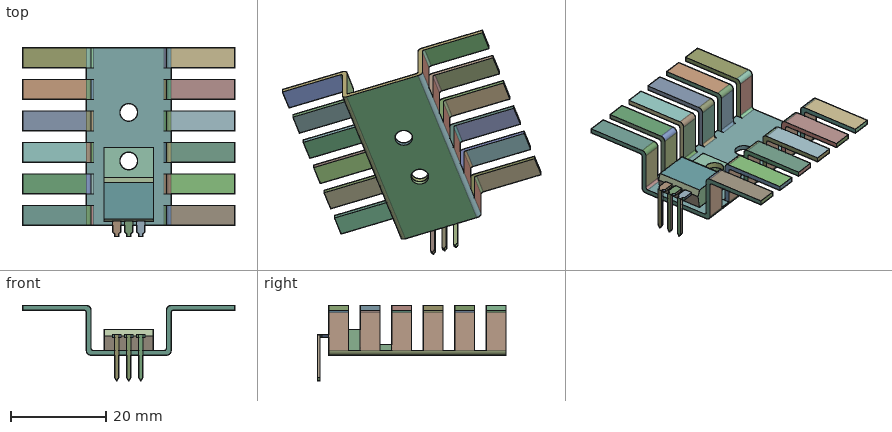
import cadquery as cq


SPAN = 44.45
SINK_LENGTH = 37.25
SINK_HEIGHT = 10.45
SHEET = 1.02
CHANNEL_WIDTH = 17.82
BEND_OUTER_RADIUS = 1.0
BEND_INNER_RADIUS = 0.5
FINGER_COUNT = 6
FINGER_GAP = 2.4
SINK_HOLE_DIAMETER = 3.65
SCREW_Y = 13.5
SPARE_HOLE_Y = 23.7

BODY_WIDTH = 10.3
BODY_HEIGHT = 4.4
TAB_THICKNESS = 1.25
TAB_HOLE_DIAMETER = 3.75
TAB_REAR_Y = 16.35
BODY_FRONT_Y = 0.8
BODY_LENGTH = 9.25
REAR_CHAMFER = 1.02
FRONT_UPPER_RUN = 0.55
FRONT_LOWER_RUN = 0.5
PARTING_HEIGHT = 3.02

LEAD_COUNT = 3
LEAD_PITCH = 2.55
LEAD_THICKNESS = 0.6
LEAD_WIDTH = 0.9
LEAD_ROOT_WIDTH = 1.75
LEAD_REACH = 2.35
LEAD_ROOT_REACH = 1.42
LEAD_DROP = 5.4
TIP_LENGTH = 0.7
TIP_WIDTH = 0.05


def make_heat_sink():
    half_span = SPAN / 2
    wall_outer = CHANNEL_WIDTH / 2
    wall_inner = wall_outer - SHEET
    wing_underside = SINK_HEIGHT - SHEET

    sink = (
        cq.Workplane("XZ")
        .moveTo(0, 0)
        .lineTo(wall_outer, 0)
        .lineTo(wall_outer, wing_underside)
        .lineTo(half_span, wing_underside)
        .lineTo(half_span, SINK_HEIGHT)
        .lineTo(wall_inner, SINK_HEIGHT)
        .lineTo(wall_inner, SHEET)
        .lineTo(0, SHEET)
        .mirrorY()
        .extrude(-SINK_LENGTH)
    )

    bends = [
        (wall_outer, 0, BEND_OUTER_RADIUS),
        (wall_inner, SHEET, BEND_INNER_RADIUS),
        (wall_outer, wing_underside, BEND_INNER_RADIUS),
        (wall_inner, SINK_HEIGHT, BEND_OUTER_RADIUS),
    ]
    for x, z, radius in bends:
        for side in (-1, 1):
            corner = cq.selectors.NearestToPointSelector((side * x, SINK_LENGTH / 2, z))
            sink = sink.edges(corner).fillet(radius)

    gap_count = FINGER_COUNT - 1
    finger_width = (SINK_LENGTH - gap_count * FINGER_GAP) / FINGER_COUNT
    for index in range(gap_count):
        gap_y = finger_width + index * (finger_width + FINGER_GAP)
        gap = (
            cq.Workplane("XY", origin=(0, gap_y, SHEET))
            .box(SPAN, FINGER_GAP, SINK_HEIGHT, centered=(True, False, False))
        )
        sink = sink.cut(gap)

    holes = (
        cq.Workplane("XY")
        .pushPoints([(0, SCREW_Y), (0, SPARE_HOLE_Y)])
        .circle(SINK_HOLE_DIAMETER / 2)
        .extrude(SHEET)
    )
    return sink.cut(holes)


def make_lead(x):
    lead_top = SHEET + PARTING_HEIGHT + LEAD_THICKNESS / 2
    bend_y = -LEAD_REACH + LEAD_THICKNESS
    root_y = BODY_FRONT_Y + FRONT_UPPER_RUN

    flat = (
        cq.Workplane("XY", origin=(x, 0, lead_top - LEAD_THICKNESS))
        .moveTo(0, root_y)
        .lineTo(LEAD_ROOT_WIDTH / 2, root_y)
        .lineTo(LEAD_ROOT_WIDTH / 2, -LEAD_ROOT_REACH)
        .lineTo(LEAD_WIDTH / 2, bend_y)
        .lineTo(LEAD_WIDTH / 2, -LEAD_REACH)
        .lineTo(0, -LEAD_REACH)
        .mirrorY()
        .extrude(LEAD_THICKNESS)
    )

    leg = (
        cq.Workplane("XZ", origin=(x, bend_y, 0))
        .moveTo(0, lead_top)
        .lineTo(LEAD_WIDTH / 2, lead_top)
        .lineTo(LEAD_WIDTH / 2, TIP_LENGTH - LEAD_DROP)
        .lineTo(TIP_WIDTH / 2, -LEAD_DROP)
        .lineTo(0, -LEAD_DROP)
        .mirrorY()
        .extrude(LEAD_THICKNESS)
    )
    return flat.union(leg)


def make_transistor():
    body_rear_y = BODY_FRONT_Y + BODY_LENGTH
    tab_top = SHEET + TAB_THICKNESS
    body_top = SHEET + BODY_HEIGHT

    transistor = (
        cq.Workplane("YZ")
        .polyline([
            (BODY_FRONT_Y + FRONT_LOWER_RUN, SHEET),
            (BODY_FRONT_Y, SHEET + PARTING_HEIGHT),
            (BODY_FRONT_Y + FRONT_UPPER_RUN, body_top),
            (body_rear_y - REAR_CHAMFER, body_top),
            (body_rear_y, body_top - REAR_CHAMFER),
            (body_rear_y, tab_top),
            (TAB_REAR_Y, tab_top),
            (TAB_REAR_Y, SHEET),
        ])
        .close()
        .extrude(BODY_WIDTH / 2, both=True)
    )

    tab_hole = (
        cq.Workplane("XY", origin=(0, SCREW_Y, SHEET))
        .circle(TAB_HOLE_DIAMETER / 2)
        .extrude(TAB_THICKNESS)
    )
    transistor = transistor.cut(tab_hole)

    for index in range(LEAD_COUNT):
        lead_x = (index - (LEAD_COUNT - 1) / 2) * LEAD_PITCH
        transistor = transistor.union(make_lead(lead_x))
    return transistor


heat_sink = make_heat_sink()
transistor = make_transistor()

result = cq.Compound.makeCompound([heat_sink.val(), transistor.val()])